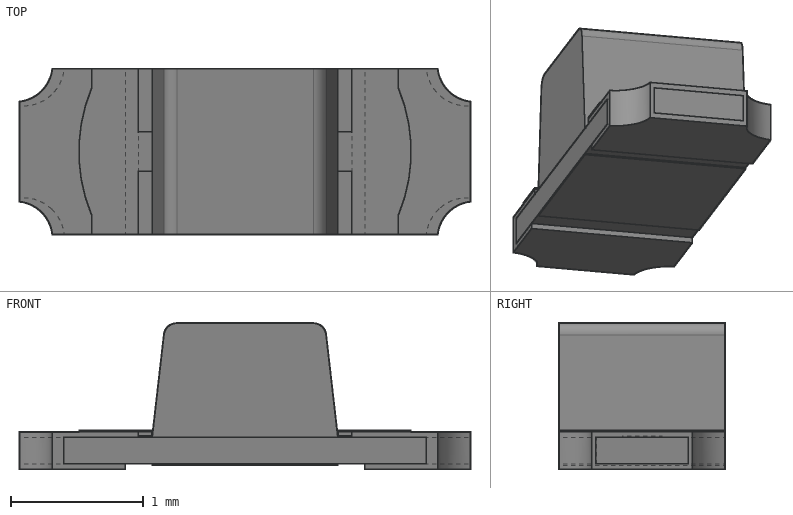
import cadquery as cq

length = 3.4
width = 1.25
height = 1.1

plating = 0.04
board_thickness = 0.2
film = 0.01
board_top = plating + board_thickness
plating_top = board_top + plating
trace_top = board_top + film

corner_size = 0.248
corner_radius = 0.28
board_notch_x = 0.335
board_notch_y = 0.28
board_notch_radius = 0.31

bottom_pad_length = 0.8
top_pad_length = 0.898
tongue_width = 0.3

mask_edge = 1.155
mask_bulge = 0.095
mask_bulge_width = 0.952

lens_base = 1.4
lens_top = 1.205
lens_edge_radius = 0.1

half_length = length / 2
half_width = width / 2
top_pad_end = half_length - top_pad_length
tongue_end = lens_base / 2


def notched_plate(notch_x, notch_y, notch_radius, z_start, z_end):
    """Full-size plate whose four corners are cut by concave arcs between the two notch distances."""
    side_x = half_length - notch_x
    end_y = half_width - notch_y
    return (
        cq.Workplane("XY", origin=(0, 0, z_start))
        .moveTo(-side_x, -half_width)
        .lineTo(side_x, -half_width)
        .radiusArc((half_length, -end_y), notch_radius)
        .lineTo(half_length, end_y)
        .radiusArc((side_x, half_width), notch_radius)
        .lineTo(-side_x, half_width)
        .radiusArc((-half_length, end_y), notch_radius)
        .lineTo(-half_length, -end_y)
        .radiusArc((-side_x, -half_width), notch_radius)
        .close()
        .extrude(z_end - z_start)
    )


def slab(x_start, x_end, y_size, z_start, z_end):
    """Box between two X and two Z positions, centred on Y."""
    return cq.Workplane("XY", origin=(x_start, 0, z_start)).box(
        x_end - x_start, y_size, z_end - z_start, centered=(False, True, False)
    )


def pair(left_body):
    """The left body and its copy turned half round the Z axis to the right end."""
    return [left_body.rotate((0, 0, 0), (0, 0, 1), angle) for angle in (0, 180)]


def make_left_terminal(board):
    """Plating on both faces of the board, joined through the two castellated corners."""
    bottom_and_posts = slab(-half_length, bottom_pad_length - half_length, width, 0, plating_top)
    top_pad = slab(-half_length, -top_pad_end, width, board_top, plating_top)
    tongue = slab(-top_pad_end, -tongue_end, tongue_width, trace_top, plating_top)
    plates = bottom_and_posts.cut(board).union(top_pad).union(tongue)
    return plates.intersect(notched_plate(corner_size, corner_size, corner_radius, 0, plating_top))


def make_left_trace():
    """Thin strip on the board, filling the space under the terminal tongue."""
    return slab(-top_pad_end, -tongue_end, tongue_width, board_top, trace_top)


def make_left_mask():
    """Thin film over the inner part of the terminal top, with a bulging outer edge."""
    half_bulge = mask_bulge_width / 2
    pad_film = (
        cq.Workplane("XY", origin=(0, 0, plating_top))
        .moveTo(-top_pad_end, -half_width)
        .lineTo(-mask_edge, -half_width)
        .lineTo(-mask_edge, -half_bulge)
        .threePointArc((-mask_edge - mask_bulge, 0), (-mask_edge, half_bulge))
        .lineTo(-mask_edge, half_width)
        .lineTo(-top_pad_end, half_width)
        .close()
        .extrude(film)
    )
    tongue_film = slab(-top_pad_end, -tongue_end, tongue_width, plating_top, plating_top + film)
    return pad_film.union(tongue_film)


def make_lens():
    """Tapered lens with two rounded top edges, standing between the terminal tongues."""
    return (
        cq.Workplane("XZ", origin=(0, half_width, 0))
        .moveTo(-lens_base / 2, board_top)
        .lineTo(lens_base / 2, board_top)
        .lineTo(lens_top / 2, height)
        .lineTo(-lens_top / 2, height)
        .close()
        .extrude(width)
        .faces(">Z")
        .edges("|Y")
        .fillet(lens_edge_radius)
    )


def make_bottom_film():
    """Thin film under the middle of the board."""
    return slab(-lens_base / 2, lens_base / 2, width, plating - film, plating)


board = notched_plate(board_notch_x, board_notch_y, board_notch_radius, plating, board_top)
terminals = pair(make_left_terminal(board))
traces = pair(make_left_trace())
masks = pair(make_left_mask())
lens = make_lens()
bottom_film = make_bottom_film()

result = cq.Compound.makeCompound(
    [
        board.val(),
        *[terminal.val() for terminal in terminals],
        *[trace.val() for trace in traces],
        *[mask.val() for mask in masks],
        lens.val(),
        bottom_film.val(),
    ]
)